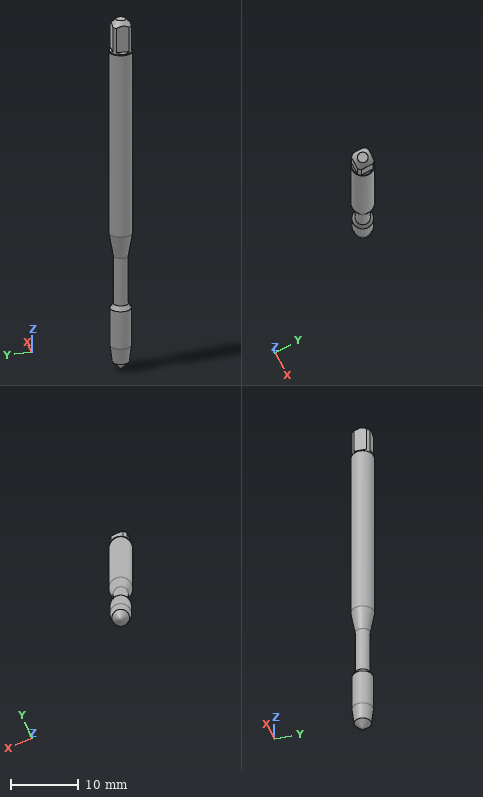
import cadquery as cq

total_length = 57.0

head_radius = 3.25 / 2
tip_radius = 1.3
tip_height = tip_radius
lead_top = 3.95
head_shoulder = 10.0
head_top = 10.75

neck_radius = 2.3 / 2
shank_radius = 3.6 / 2
neck_top = 18.45
shank_taper_top = 22.2

drive_corner_radius = 3.4 / 2
drive_across_flats = 2.85
drive_bottom = 51.8
flat_bottom = 52.15
drive_top_radius = 0.8

drive_cone_bottom = total_length - (drive_corner_radius - drive_top_radius)
shank_chamfer_height = shank_radius - drive_corner_radius
ramp_height = flat_bottom - drive_bottom


def revolve_profile(points):
    """Turn a closed (radius, z) profile about the Z axis."""
    return cq.Workplane("XZ").polyline(points).close().revolve(360, (0, 0), (0, 1))


def make_head():
    """Cutting head with a pointed tip, tapered lead and chamfered shoulder."""
    return revolve_profile([
        (0, 0),
        (tip_radius, tip_height),
        (head_radius, lead_top),
        (head_radius, head_shoulder),
        (neck_radius, head_top),
        (0, head_top),
    ])


def make_drive():
    """Square drive with rounded corners, ramped flat ends and a conical tip."""
    blank = revolve_profile([
        (0, drive_bottom),
        (drive_corner_radius, drive_bottom),
        (drive_corner_radius, drive_cone_bottom),
        (drive_top_radius, total_length),
        (0, total_length),
    ])
    square = (
        cq.Workplane("XY", origin=(0, 0, flat_bottom))
        .rect(drive_across_flats, drive_across_flats)
        .extrude(total_length - flat_bottom)
    )
    ramp_across = drive_across_flats + 2 * ramp_height
    ramps = (
        cq.Workplane("XY", origin=(0, 0, drive_bottom))
        .rect(ramp_across, ramp_across)
        .workplane(offset=ramp_height)
        .rect(drive_across_flats, drive_across_flats)
        .loft(ruled=True)
    )
    return blank.intersect(square.union(ramps))


def make_shank():
    """Neck, taper and chamfered shank, ending in the square drive."""
    turned = revolve_profile([
        (0, head_top),
        (neck_radius, head_top),
        (neck_radius, neck_top),
        (shank_radius, shank_taper_top),
        (shank_radius, drive_bottom - shank_chamfer_height),
        (drive_corner_radius, drive_bottom),
        (0, drive_bottom),
    ])
    return turned.union(make_drive())


head = make_head()
shank = make_shank()

result = cq.Compound.makeCompound([head.val(), shank.val()])